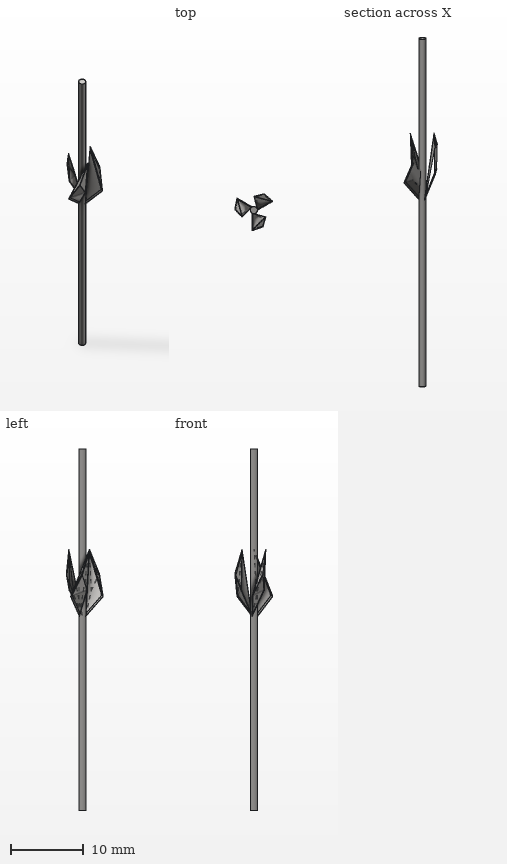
import cadquery as cq

ROD_LENGTH = 49.9
ROD_RADIUS = 0.5
BLADE_COUNT = 3
HOLLOW_RATIO = 0.9

ROOT = cq.Vector(ROD_RADIUS, 0.0, 26.8)
WING = cq.Vector(2.6, 1.2, 29.55)
SHOULDER = cq.Vector(1.4, 2.25, 32.6)
TIP = cq.Vector(0.0, 1.9, 36.0)
HEEL = cq.Vector(0.35, 1.85, 30.4)

MOUTH_CENTER = (TIP + HEEL + ROOT) * (1 / 3)


def triangle(*corners):
    """Flat face through three corners."""
    return cq.Face.makeFromWires(cq.Wire.makePolygon(corners, close=True))


def blade_body(ratio):
    """Six-facet body: root and shoulder joined to a wing-tip-heel ring, sized about the mouth."""
    def place(corner):
        return MOUTH_CENTER + (corner - MOUTH_CENTER) * ratio

    ring = [place(corner) for corner in (WING, TIP, HEEL)]
    faces = []
    for apex in (place(ROOT), place(SHOULDER)):
        for index, corner in enumerate(ring):
            next_corner = ring[(index + 1) % len(ring)]
            faces.append(triangle(corner, next_corner, apex))
    return cq.Workplane(cq.Solid.makeSolid(cq.Shell.makeShell(faces)))


blade = blade_body(1.0).cut(blade_body(HOLLOW_RATIO))

result = cq.Workplane("XY").circle(ROD_RADIUS).extrude(ROD_LENGTH)
for position in range(BLADE_COUNT):
    turn = position * 360.0 / BLADE_COUNT
    result = result.union(blade.rotate((0, 0, 0), (0, 0, 1), turn))